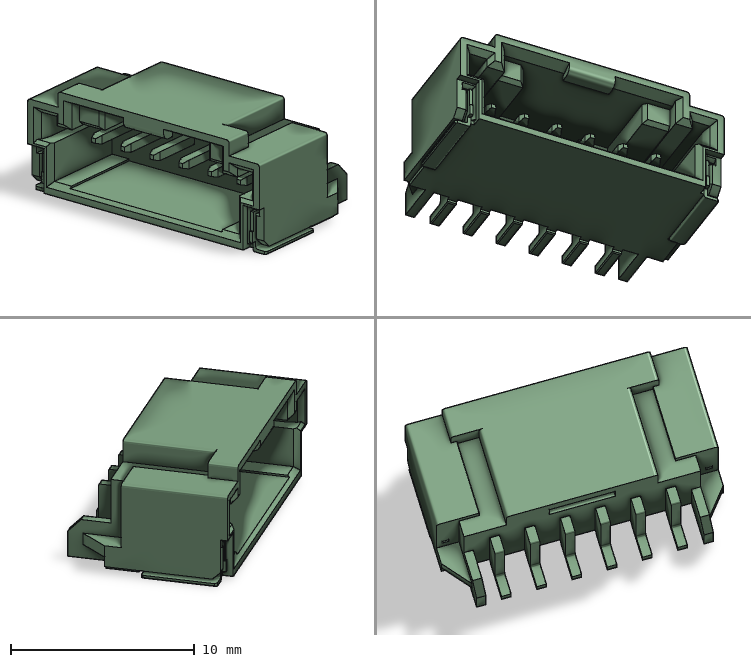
import cadquery as cq

length = 16.0
half_length = length / 2
total_height = 6.4
total_depth = 9.4
base_z = 0.2
wall = 0.4
rear_y = 6.96
edge_radius = 0.2

shoulder_top_z = 5.49
shoulder_inner_x = 5.57
shoulder_rear_y = 6.02
core_top_z = 5.1
core_half = 6.72
collar_half = 5.9
collar_depth = 1.7
roof_half = 4.3

funnel = 0.32
ledge_funnel = 0.22
ledge_funnel_depth = 0.16
cavity_rear_y = 5.44
cavity_half_bottom = 6.7
ledge_z = 2.96
rib_bottom_z = 4.55
mouth_top_z = 5.95
inner_top_z = 5.65
roof_slope_depth = 0.64
roof_slope = (mouth_top_z - inner_top_z) / roof_slope_depth
funnel_top_z = mouth_top_z - roof_slope * funnel
throat_half = collar_half - wall - funnel
collar_inner_y = 1.0
channel_half = 3.62
channel_chamfer = 0.22
channel_shelf_z = 4.3
floor_recess_half = 5.22
floor_recess = 0.11
side_taper = 0.13
side_taper_rear_y = 0.96
back_step_z = 5.02
back_step = 0.08
window_half = 1.87
window_bottom_z = 4.86

catch_half = 1.4
catch_bottom_z = 5.28
catch_depth = 0.8
catch_radius = 0.43

skirt_bottom_z = 0.45
skirt_front_y = 0.4
skirt_chamfer = 0.45
recess_inner_x = 6.86
recess_top_z = 2.83
slot_outer_x = 7.68
slot_inner_x = 7.07
slot_top_z = 2.51
slot_rear_y = 5.09
slot_flare = 0.2
skirt_inner_x = 7.3
skirt_lip_z = 2.25
skirt_inner_chamfer = 0.18

arm_width = 0.53
arm_top_z = 2.5
arm_chamfer = 0.77
gusset_top_z = 1.7
gusset_bottom_z = 1.02
gusset_rear_y = 8.55

contact_count = 6
pitch = 2.0
contact_width = 0.55
pin_z = 3.12
pin_height = 0.51
pin_tip_y = 2.02
pin_taper = 0.38
pin_tip_width = 0.27
post_front_y = 7.04
post_rear_y = 8.06
post_top_z = 4.06
post_neck_top_z = 3.78
post_radius = 0.1
foot_front_y = 7.15
foot_rear_y = 9.31
foot_height = 0.55
foot_fillet = 0.15
foot_chamfer = 0.06

nail_thickness = 0.2
nail_front_y = 0.6
nail_rear_y = 4.9
nail_top_z = 2.42
nail_plate_y = 0.4
nail_bend_radius = 0.15
nail_tab_y = 0.3
nail_plate_bottom_z = 0.62
nail_tab_top_z = 1.28
nail_tip_chamfer = 0.06
nail_corner_chamfer = 0.13


def block(x, y, z):
    """Box given by its (low, high) limits on each axis."""
    return cq.Workplane("XY").box(
        x[1] - x[0], y[1] - y[0], z[1] - z[0], centered=False
    ).translate((x[0], y[0], z[0]))


def extrude_along_y(points, y_start, y_end):
    """Prism whose section is given as (x, z) points."""
    return (
        cq.Workplane("XZ", origin=(0, y_start, 0))
        .polyline(points)
        .close()
        .extrude(y_start - y_end)
    )


def extrude_along_x(points, x_start, x_end):
    """Prism whose section is given as (y, z) points."""
    return (
        cq.Workplane("YZ", origin=(x_start, 0, 0))
        .polyline(points)
        .close()
        .extrude(x_end - x_start)
    )


def loft_along_y(start_points, end_points, y_start, y_end):
    """Tapered prism between two (x, z) sections."""
    return (
        cq.Workplane("XZ", origin=(0, y_start, 0))
        .polyline(start_points)
        .close()
        .workplane(offset=y_start - y_end)
        .polyline(end_points)
        .close()
        .loft(ruled=True)
    )


def both_sides(left):
    """A left-hand shape together with its mirror image."""
    return left.union(left.mirror("YZ"))


def cavity_outline(inset, ledge_inset, top_z):
    """Symmetric (x, z) outline of the mouth, moved inward by the given insets."""
    right = [
        (cavity_half_bottom - inset, base_z + wall + inset),
        (cavity_half_bottom - inset, ledge_z + ledge_inset),
        (half_length - wall - inset, ledge_z + ledge_inset),
        (half_length - wall - inset, shoulder_top_z - wall - inset),
        (collar_half + inset, shoulder_top_z - wall - inset),
        (collar_half + inset, rib_bottom_z - inset),
        (collar_half - wall - inset, rib_bottom_z - inset),
        (collar_half - wall - inset, top_z),
    ]
    left = [(-x, z) for x, z in reversed(right)]
    return right + left


def housing_shell():
    """Solid outside form: core, shoulders, raised roof and its wider front collar."""
    core = block((-core_half, core_half), (0, rear_y), (base_z, core_top_z))
    side = block((-half_length, -shoulder_inner_x), (0, shoulder_rear_y), (base_z, shoulder_top_z))
    side = side.edges("|Y and <X and >Z").fillet(edge_radius)
    roof = block((-roof_half, roof_half), (0, rear_y), (core_top_z, total_height))
    roof = roof.edges("|Y and >Z").fillet(edge_radius)
    collar = block((-collar_half, collar_half), (0, collar_depth), (core_top_z, total_height))
    collar = collar.edges("|Y and >Z").fillet(edge_radius)
    return core.union(both_sides(side)).union(roof).union(collar)


def lead_in():
    """Funnel at the mouth; the ledges over the nail housings reach full height first."""
    mouth = cavity_outline(0, 0, mouth_top_z)
    ledge_stage = cavity_outline(
        ledge_funnel_depth, ledge_funnel, mouth_top_z - roof_slope * ledge_funnel_depth
    )
    throat = cavity_outline(funnel, ledge_funnel, funnel_top_z)
    ledge_lead_in = loft_along_y(mouth, ledge_stage, 0, ledge_funnel_depth)
    deep_lead_in = loft_along_y(ledge_stage, throat, ledge_funnel_depth, funnel)
    return ledge_lead_in.union(deep_lead_in)


def main_chamber():
    """Cavity behind the funnel up to the roof shelf, with slightly tapered side pockets."""
    shelf_outline = cavity_outline(funnel, ledge_funnel, channel_shelf_z)
    chamber = extrude_along_y(shelf_outline, funnel, cavity_rear_y)
    pocket_side_x = half_length - wall - funnel
    taper_wedge = (
        cq.Workplane("XY", origin=(0, 0, base_z))
        .polyline([
            (-pocket_side_x, funnel),
            (-pocket_side_x + side_taper, side_taper_rear_y),
            (-pocket_side_x + side_taper, cavity_rear_y),
            (-pocket_side_x, cavity_rear_y),
        ])
        .close()
        .extrude(total_height - base_z)
    )
    return chamber.cut(both_sides(taper_wedge))


def collar_space():
    """Space under the collar, with its sloping roof and the flared shelf edge behind it."""
    space = extrude_along_x(
        [
            (funnel, channel_shelf_z),
            (funnel, funnel_top_z),
            (roof_slope_depth, inner_top_z),
            (collar_inner_y, inner_top_z),
            (collar_inner_y, channel_shelf_z),
        ],
        -throat_half,
        throat_half,
    )
    shelf_flare = extrude_along_x(
        [
            (collar_inner_y, channel_shelf_z),
            (collar_inner_y, channel_shelf_z + channel_chamfer),
            (collar_inner_y + channel_chamfer, channel_shelf_z),
        ],
        -throat_half,
        throat_half,
    )
    return space.union(shelf_flare)


def roof_channel():
    """Channel in the narrow roof, flared at its front, with a shallow recess and window at its rear."""
    channel = block(
        (-channel_half, channel_half), (collar_inner_y, cavity_rear_y), (channel_shelf_z, inner_top_z)
    )
    flare_plan = [
        (-channel_half - channel_chamfer, collar_inner_y),
        (channel_half + channel_chamfer, collar_inner_y),
        (channel_half, collar_inner_y + channel_chamfer),
        (-channel_half, collar_inner_y + channel_chamfer),
    ]
    channel_flare = (
        cq.Workplane("XY", origin=(0, 0, channel_shelf_z))
        .polyline(flare_plan)
        .close()
        .extrude(inner_top_z - channel_shelf_z)
    )
    back_recess = block(
        (-channel_half, channel_half),
        (cavity_rear_y, cavity_rear_y + back_step),
        (back_step_z, inner_top_z),
    )
    window = block((-window_half, window_half), (cavity_rear_y, rear_y), (window_bottom_z, inner_top_z))
    return channel.union(channel_flare).union(back_recess).union(window)


def floor_groove():
    """Shallow recess along the middle of the floor."""
    floor_z = base_z + wall + funnel - floor_recess
    return extrude_along_x(
        [
            (funnel - floor_recess, floor_z),
            (funnel, floor_z + floor_recess),
            (cavity_rear_y, floor_z + floor_recess),
            (cavity_rear_y, floor_z),
        ],
        -floor_recess_half,
        floor_recess_half,
    )


def cavity():
    return lead_in().union(main_chamber()).union(collar_space()).union(roof_channel()).union(floor_groove())


def catch():
    """Rounded latch catch hanging from the roof at the mouth."""
    body = block((-catch_half, catch_half), (0, catch_depth), (catch_bottom_z, mouth_top_z))
    return body.edges("|X and <Z and <Y").fillet(catch_radius)


def nail_slot():
    """Everything cut from the lower left front corner to house a solder nail."""
    front_recess = block((-half_length, -recess_inner_x), (0, skirt_front_y), (base_z, recess_top_z))
    under_skirt = block((-half_length, -slot_outer_x), (0, shoulder_rear_y), (base_z, skirt_bottom_z))
    slot = block((-slot_outer_x, -slot_inner_x), (skirt_front_y, slot_rear_y), (base_z, slot_top_z))
    outer_corner = block(
        (-half_length, -slot_outer_x),
        (skirt_front_y, skirt_front_y + skirt_chamfer),
        (skirt_bottom_z, skirt_lip_z),
    )
    top_passage = block(
        (-slot_outer_x, -skirt_inner_x), (slot_rear_y, shoulder_rear_y), (skirt_lip_z, slot_top_z)
    )
    flare_y = (skirt_front_y, skirt_front_y + slot_flare)
    flare_mouth = [
        (-slot_outer_x, skirt_bottom_z),
        (-slot_outer_x, slot_top_z + slot_flare),
        (-slot_inner_x + slot_flare, slot_top_z + slot_flare),
        (-slot_inner_x + slot_flare, skirt_bottom_z),
    ]
    flare_throat = [
        (-slot_outer_x, skirt_bottom_z),
        (-slot_outer_x, slot_top_z),
        (-slot_inner_x, slot_top_z),
        (-slot_inner_x, skirt_bottom_z),
    ]
    flare = loft_along_y(flare_mouth, flare_throat, *flare_y)
    below_flare = block((-slot_inner_x, -recess_inner_x), flare_y, (base_z, skirt_bottom_z))
    space = front_recess
    for part in (under_skirt, slot, outer_corner, top_passage, flare, below_flare):
        space = space.union(part)
    return space


def skirt():
    """Thick lower part of the left outer wall, which holds the nail from outside."""
    wall_block = extrude_along_x(
        [
            (skirt_front_y + skirt_chamfer, skirt_bottom_z),
            (skirt_front_y, skirt_bottom_z + skirt_chamfer),
            (skirt_front_y, skirt_lip_z),
            (slot_rear_y, skirt_lip_z),
            (slot_rear_y, skirt_bottom_z),
        ],
        -half_length,
        -skirt_inner_x,
    )
    inner_edges = wall_block.faces(">X").edges()
    front_edges = inner_edges.filter(
        lambda edge: edge.Center().y < skirt_front_y + skirt_chamfer
    )
    return front_edges.chamfer(skirt_inner_chamfer)


def rear_arm():
    """Left arm behind the housing, with the gusset that braces it outside."""
    arm = extrude_along_x(
        [
            (shoulder_rear_y, base_z),
            (total_depth, base_z),
            (total_depth, gusset_top_z),
            (total_depth - arm_chamfer, arm_top_z),
            (shoulder_rear_y, arm_top_z),
        ],
        -core_half,
        -core_half + arm_width,
    )
    brace = block((-half_length, -core_half), (shoulder_rear_y, rear_y), (skirt_bottom_z, gusset_top_z))
    web = (
        cq.Workplane("XY", origin=(0, 0, gusset_bottom_z))
        .polyline([(-half_length, rear_y), (-core_half, rear_y), (-core_half, gusset_rear_y)])
        .close()
        .extrude(gusset_top_z - gusset_bottom_z)
    )
    sill = block((-slot_outer_x, -core_half), (shoulder_rear_y, rear_y), (base_z, skirt_bottom_z))
    return arm.union(brace).union(sill).union(web)


def contact(x):
    """One contact: mating pin, rear post and solder foot."""
    half = contact_width / 2
    pin_limits_z = (pin_z - pin_height / 2, pin_z + pin_height / 2)
    pin = block((x - half, x + half), (pin_tip_y + pin_taper, post_front_y), pin_limits_z)
    tip = (
        cq.Workplane("XZ", origin=(x, pin_tip_y, pin_z))
        .rect(pin_tip_width, pin_tip_width)
        .workplane(offset=-pin_taper)
        .rect(contact_width, pin_height)
        .loft(ruled=True)
    )
    neck = block((x - half, x + half), (rear_y, post_front_y), (base_z, post_neck_top_z))
    post = block((x - half, x + half), (post_front_y, post_rear_y), (base_z, post_top_z))
    post = post.edges("|X and >Z").fillet(post_radius)
    foot = block((x - half, x + half), (foot_front_y, foot_rear_y), (0, foot_height))
    foot = foot.faces("<Z").edges().chamfer(foot_chamfer)
    fillet_block = block(
        (x - half, x + half),
        (post_rear_y, post_rear_y + foot_fillet),
        (foot_height, foot_height + foot_fillet),
    )
    rounding = (
        cq.Workplane("YZ", origin=(x - half, post_rear_y + foot_fillet, foot_height + foot_fillet))
        .circle(foot_fillet)
        .extrude(contact_width)
    )
    return pin.union(tip).union(neck).union(post).union(foot).union(fillet_block.cut(rounding))


def make_housing():
    body = housing_shell().cut(cavity()).union(catch())
    body = body.cut(both_sides(nail_slot())).union(both_sides(skirt()))
    body = body.union(both_sides(rear_arm()))
    first_x = -pitch * (contact_count - 1) / 2
    for index in range(contact_count):
        body = body.union(contact(first_x + index * pitch))
    return body


def make_nail():
    """Left solder nail: an upright plate bent outward into a solder foot."""
    plate_outer_x = -slot_inner_x - nail_thickness
    section = [
        (-half_length, 0),
        (-slot_inner_x, 0),
        (-slot_inner_x, nail_top_z),
        (plate_outer_x, nail_top_z),
        (plate_outer_x, nail_thickness),
        (-half_length, nail_thickness),
    ]
    nail = extrude_along_y(section, nail_front_y, nail_rear_y)
    nail = nail.edges("|Y and <Z and >X").fillet(nail_bend_radius)
    inner_bend = (plate_outer_x, (nail_front_y + nail_rear_y) / 2, nail_thickness)
    nail = nail.edges(cq.NearestToPointSelector(inner_bend)).fillet(nail_bend_radius)
    nail = nail.edges("|Z and <X").chamfer(nail_corner_chamfer)
    nail = nail.edges("|Y and <Z and <X").chamfer(nail_tip_chamfer)
    plate_x = (plate_outer_x, -slot_inner_x)
    plate_front = block(plate_x, (nail_plate_y, nail_front_y), (nail_plate_bottom_z, nail_top_z))
    tab = block(plate_x, (nail_tab_y, nail_plate_y), (nail_plate_bottom_z, nail_tab_top_z))
    return nail.union(plate_front).union(tab)


housing = make_housing()
left_nail = make_nail()
nails = [left_nail, left_nail.mirror("YZ")]

result = cq.Compound.makeCompound(
    [housing.solids().val()] + [nail.solids().val() for nail in nails]
)